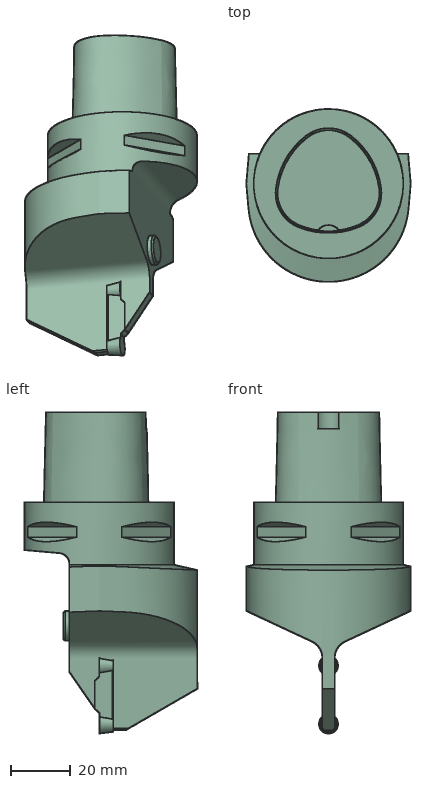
import cadquery as cq
import math

SHANK_LENGTH = 30.0
SHANK_INSET = 0.7
LOBE_REACH = 18.56
FLANK_REACH = 16.5
LOBE_RADIUS = 12.25
LOBE_COUNT = 3
KEYWAY_RADIUS = 4.2
KEYWAY_Y = -18.0
KEYWAY_DEPTH = 5.6

FLANGE_RADIUS = 25.0
FLANGE_HEIGHT = 20.95
GROOVE_COUNT = 4
GROOVE_FLOOR_DISTANCE = 22.2
GROOVE_FLOOR_HEIGHT = 3.4
GROOVE_Z = -10.0
GROOVE_WALL_ANGLE = 29.0

HEAD_HALF_WIDTH = 27.515
HEAD_FRONT = 32.84
HEAD_BACK = 10.05
SIDE_ANGLE = 5.0
SHOULDER_ANGLE = 13.0
HEAD_SIDE_BOTTOM = -36.4
HEAD_SLOPE_ANGLE = 25.0
BLADE_FILLET = 6.0

RELIEF_EDGE_Z = -16.1
RELIEF_ANGLE = 5.0
RELIEF_FILLET = 3.5

BLADE_HALF_THICKNESS = 2.1
BLADE_BOTTOM = -76.2
BLADE_EDGE_CHAMFER = 0.55
BLADE_BACK_CORNER_Z = -56.8
BLADE_FRONT_CORNER_Z = -62.4
BLADE_FRONT_ANGLE = 30.0

PLUG_RADIUS = 5.0
PLUG_Z = -41.4
PLUG_PROJECTION = 2.0
PLUG_CHAMFER = 0.6

TOTAL_BOTTOM = -77.4
INSERT_NOSE_RADIUS = 3.2
INSERT_CENTRE_Z = -64.43
INSERT_THICKNESS = 4.75
INSERT_CLEARANCE_ANGLE = 7.0
INSERT_RIDGE_HEIGHT = 1.45
INSERT_RIDGE_LENGTH = 9.5
INSERT_RIDGE_BASE_LENGTH = 12.2
INSERT_EDGE_CHAMFER = 0.4


def tan_deg(angle):
    return math.tan(math.radians(angle))


def polar(distance, angle):
    return cq.Vector(distance * math.cos(angle), distance * math.sin(angle), 0)


def lobed_wire(inset, height):
    """Three lobe arcs joined tangentially by three flatter flank arcs, one lobe towards +Y."""
    lobe_offset = LOBE_REACH - LOBE_RADIUS
    reach_gap = FLANK_REACH - LOBE_RADIUS
    flank_offset = (lobe_offset**2 - reach_gap**2) / (2 * reach_gap - lobe_offset)
    flank_radius = FLANK_REACH + flank_offset
    pitch = 2 * math.pi / LOBE_COUNT
    lift = cq.Vector(0, 0, height)

    def joint(lobe_angle, side):
        """Point where a lobe arc meets the flank arc on one side of it."""
        lobe_centre = polar(lobe_offset, lobe_angle)
        flank_centre = polar(-flank_offset, lobe_angle + side * pitch / 2)
        direction = (lobe_centre - flank_centre).normalized()
        return flank_centre + direction * (flank_radius - inset) + lift

    edges = []
    for i in range(LOBE_COUNT):
        lobe_angle = math.pi / 2 + i * pitch
        start = joint(lobe_angle, -1)
        end = joint(lobe_angle, 1)
        crest = polar(LOBE_REACH - inset, lobe_angle) + lift
        flank_middle = polar(FLANK_REACH - inset, lobe_angle + pitch / 2) + lift
        next_start = joint(lobe_angle + pitch, -1)
        edges.append(cq.Edge.makeThreePointArc(start, crest, end))
        edges.append(cq.Edge.makeThreePointArc(end, flank_middle, next_start))
    return cq.Wire.assembleEdges(edges)


def make_shank():
    wires = [lobed_wire(0, 0), lobed_wire(SHANK_INSET, SHANK_LENGTH)]
    shank = cq.Workplane(cq.Solid.makeLoft(wires, True))
    keyway = (
        cq.Workplane("XY", origin=(0, KEYWAY_Y, SHANK_LENGTH - KEYWAY_DEPTH))
        .circle(KEYWAY_RADIUS)
        .extrude(KEYWAY_DEPTH)
    )
    return shank.cut(keyway)


def make_groove(angle):
    """Straight groove with sloping walls, cut across the flange at one angle."""
    depth = FLANGE_RADIUS - GROOVE_FLOOR_DISTANCE
    floor_half = GROOVE_FLOOR_HEIGHT / 2
    mouth_half = floor_half + depth * tan_deg(GROOVE_WALL_ANGLE)
    return (
        cq.Workplane("XZ", origin=(0, 0, GROOVE_Z))
        .moveTo(GROOVE_FLOOR_DISTANCE, -floor_half)
        .lineTo(FLANGE_RADIUS, -mouth_half)
        .lineTo(FLANGE_RADIUS, mouth_half)
        .lineTo(GROOVE_FLOOR_DISTANCE, floor_half)
        .close()
        .extrude(FLANGE_RADIUS, both=True)
        .rotate((0, 0, 0), (0, 0, 1), angle)
    )


def make_flange():
    flange = cq.Workplane("XY").circle(FLANGE_RADIUS).extrude(-FLANGE_HEIGHT)
    step = 360 / GROOVE_COUNT
    for i in range(GROOVE_COUNT):
        flange = flange.cut(make_groove(step * (i + 0.5)))
    return flange


def head_outline_prism():
    """Plan outline of the head: leaning sides closed by a tangent front arc."""
    lean = math.radians(SIDE_ANGLE)
    radius = (HEAD_HALF_WIDTH * math.cos(lean) - HEAD_FRONT * math.sin(lean)) / (1 - math.sin(lean))
    centre_y = radius - HEAD_FRONT
    tangent_x = radius * math.cos(lean)
    tangent_y = centre_y - radius * math.sin(lean)
    back_x = HEAD_HALF_WIDTH - HEAD_BACK * math.tan(lean)
    return (
        cq.Workplane("XY", origin=(0, 0, TOTAL_BOTTOM))
        .moveTo(-back_x, HEAD_BACK)
        .lineTo(-HEAD_HALF_WIDTH, 0)
        .lineTo(-tangent_x, tangent_y)
        .threePointArc((0, -HEAD_FRONT), (tangent_x, tangent_y))
        .lineTo(HEAD_HALF_WIDTH, 0)
        .lineTo(back_x, HEAD_BACK)
        .close()
        .extrude(-FLANGE_HEIGHT - TOTAL_BOTTOM)
    )


def head_shoulder():
    """Round envelope whose conical top forms the shoulder under the flange."""
    outer = HEAD_FRONT + HEAD_BACK
    shoulder_drop = (outer - FLANGE_RADIUS) * tan_deg(SHOULDER_ANGLE)
    return (
        cq.Workplane("XZ")
        .moveTo(0, -FLANGE_HEIGHT)
        .lineTo(FLANGE_RADIUS, -FLANGE_HEIGHT)
        .lineTo(outer, -FLANGE_HEIGHT - shoulder_drop)
        .lineTo(outer, TOTAL_BOTTOM)
        .lineTo(0, TOTAL_BOTTOM)
        .close()
        .revolve(360, (0, 0, 0), (0, 1, 0))
    )


def head_front_prism():
    """Profile along X: sloping underside narrowing through fillets to the blade."""
    slope = math.radians(HEAD_SLOPE_ANGLE)
    fillet_x = BLADE_HALF_THICKNESS + BLADE_FILLET
    start_x = fillet_x - BLADE_FILLET * math.sin(slope)
    start_z = HEAD_SIDE_BOTTOM - (HEAD_HALF_WIDTH - start_x) * math.tan(slope)
    centre_z = start_z - BLADE_FILLET * math.cos(slope)
    mid_angle = (math.pi / 2 + slope + math.pi) / 2
    mid_x = fillet_x + BLADE_FILLET * math.cos(mid_angle)
    mid_z = centre_z + BLADE_FILLET * math.sin(mid_angle)
    chamfer_x = BLADE_HALF_THICKNESS - BLADE_EDGE_CHAMFER
    chamfer_z = BLADE_BOTTOM + BLADE_EDGE_CHAMFER
    return (
        cq.Workplane("XZ", origin=(0, HEAD_BACK, 0))
        .moveTo(0, -FLANGE_HEIGHT)
        .lineTo(HEAD_HALF_WIDTH, -FLANGE_HEIGHT)
        .lineTo(HEAD_HALF_WIDTH, HEAD_SIDE_BOTTOM)
        .lineTo(start_x, start_z)
        .threePointArc((mid_x, mid_z), (BLADE_HALF_THICKNESS, centre_z))
        .lineTo(BLADE_HALF_THICKNESS, chamfer_z)
        .lineTo(chamfer_x, BLADE_BOTTOM)
        .lineTo(0, BLADE_BOTTOM)
        .mirrorY()
        .extrude(HEAD_BACK + HEAD_FRONT)
    )


def head_side_prism():
    """Profile along Y: blade cut back by a steep rear slope and a front slope."""
    ridge_end_z = INSERT_CENTRE_Z - INSERT_RIDGE_LENGTH / 2
    ridge_base_end_z = INSERT_CENTRE_Z - INSERT_RIDGE_BASE_LENGTH / 2
    front_run = (BLADE_FRONT_CORNER_Z - BLADE_BOTTOM) / tan_deg(BLADE_FRONT_ANGLE)
    return (
        cq.Workplane("YZ")
        .moveTo(HEAD_BACK, -FLANGE_HEIGHT)
        .lineTo(HEAD_BACK, BLADE_BACK_CORNER_Z)
        .lineTo(INSERT_RIDGE_HEIGHT, ridge_end_z)
        .lineTo(0, ridge_base_end_z)
        .lineTo(0, BLADE_BOTTOM)
        .lineTo(-HEAD_FRONT + front_run, BLADE_BOTTOM)
        .lineTo(-HEAD_FRONT, BLADE_FRONT_CORNER_Z)
        .lineTo(-HEAD_FRONT, -FLANGE_HEIGHT)
        .close()
        .extrude(HEAD_HALF_WIDTH, both=True)
    )


def make_head():
    head = head_outline_prism().intersect(head_shoulder())
    return head.intersect(head_front_prism()).intersect(head_side_prism())


def make_relief():
    """Cutter that clears the flange underside behind the head."""
    corner_z = RELIEF_EDGE_Z - (FLANGE_RADIUS - HEAD_BACK) * tan_deg(RELIEF_ANGLE)
    return (
        cq.Workplane("YZ")
        .moveTo(FLANGE_RADIUS, RELIEF_EDGE_Z)
        .lineTo(HEAD_BACK, corner_z)
        .lineTo(HEAD_BACK, TOTAL_BOTTOM)
        .lineTo(FLANGE_RADIUS, TOTAL_BOTTOM)
        .close()
        .extrude(HEAD_HALF_WIDTH, both=True)
        .edges(cq.selectors.NearestToPointSelector((0, HEAD_BACK, corner_z)))
        .fillet(RELIEF_FILLET)
    )


def make_plug():
    return (
        cq.Workplane("XZ", origin=(0, HEAD_BACK, PLUG_Z))
        .circle(PLUG_RADIUS)
        .extrude(-PLUG_PROJECTION)
        .faces(">Y")
        .chamfer(PLUG_CHAMFER)
    )


def insert_blank(edge_chamfer=0):
    """Flat bar with a locating ridge and a tapered round nose at each end."""
    nose_offset = INSERT_CENTRE_Z - TOTAL_BOTTOM - INSERT_NOSE_RADIUS
    insert = (
        cq.Workplane("YZ", origin=(0, 0, INSERT_CENTRE_Z))
        .moveTo(-INSERT_THICKNESS, -nose_offset)
        .lineTo(0, -nose_offset)
        .lineTo(0, -INSERT_RIDGE_BASE_LENGTH / 2)
        .lineTo(INSERT_RIDGE_HEIGHT, -INSERT_RIDGE_LENGTH / 2)
        .lineTo(INSERT_RIDGE_HEIGHT, INSERT_RIDGE_LENGTH / 2)
        .lineTo(0, INSERT_RIDGE_BASE_LENGTH / 2)
        .lineTo(0, nose_offset)
        .lineTo(-INSERT_THICKNESS, nose_offset)
        .close()
        .extrude(BLADE_HALF_THICKNESS, both=True)
    )
    if edge_chamfer:
        insert = insert.faces("<Y").edges("|Z").chamfer(edge_chamfer)
    for side in (-1, 1):
        nose = (
            cq.Workplane("XZ", origin=(0, 0, INSERT_CENTRE_Z + side * nose_offset))
            .circle(INSERT_NOSE_RADIUS)
            .extrude(INSERT_THICKNESS, taper=INSERT_CLEARANCE_ANGLE)
        )
        insert = insert.union(nose)
    return insert


insert = insert_blank(INSERT_EDGE_CHAMFER)
seat = insert_blank()
holder = (
    make_flange()
    .union(make_head())
    .cut(make_relief())
    .union(make_shank())
    .union(make_plug())
    .cut(seat)
)

result = cq.Compound.makeCompound([*holder.solids().vals(), *insert.solids().vals()])